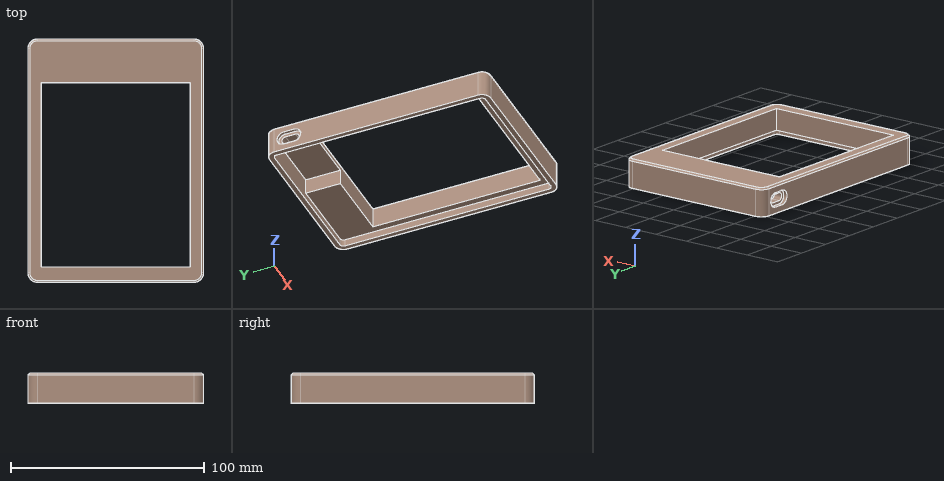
import cadquery as cq
body_width = 91.0
body_length = 126.0
body_height = 15.7
corner_radius = 5.0
bevel = 1.0

side_margin = 7.0
front_margin = 8.1
rear_margin = 22.7
window_width = body_width - 2 * side_margin
window_length = body_length - front_margin - rear_margin
window_front = -body_length / 2 + front_margin
window_rear = window_front + window_length

seat_wall = 3.0
seat_depth = 4.0

bay_left = -window_width / 2
bay_right = -2.0
bay_rear_wall = 3.0
roof = 3.0

port_y = body_length / 2 - 13.3
port_z = 7.4
port_length = 9.8
port_height = 4.2
recess_border = 1.8
recess_depth = 2.1


def box_between(x, y, z):
    """Box spanning the given (low, high) pairs."""
    size = [high - low for low, high in (x, y, z)]
    return cq.Workplane("XY").box(*size, centered=False).translate((x[0], y[0], z[0]))


def make_body():
    """Rounded block with a bevelled top edge."""
    blank = (
        cq.Workplane("XY")
        .rect(body_width, body_length)
        .extrude(body_height)
        .edges("|Z")
        .fillet(corner_radius)
    )
    return blank.faces(">Z").chamfer(bevel)


def make_window():
    """Rectangular opening through the full height."""
    half = window_width / 2
    return box_between((-half, half), (window_front, window_rear), (0, body_height))


def make_seat():
    """Rounded recess that leaves an even wall around the underside."""
    return (
        cq.Workplane("XY")
        .rect(body_width - 2 * seat_wall, body_length - 2 * seat_wall)
        .extrude(seat_depth)
        .edges("|Z")
        .fillet(corner_radius - seat_wall)
    )


def make_bay():
    """Cavity behind the window, closed above by the roof."""
    return box_between(
        (bay_left, bay_right),
        (window_rear, body_length / 2 - bay_rear_wall),
        (0, body_height - roof),
    )


def make_port(length, height, depth):
    """Slot cut into the left wall to the given depth."""
    return (
        cq.Workplane("YZ", origin=(-body_width / 2, port_y, port_z))
        .slot2D(length, height)
        .extrude(depth)
    )


result = (
    make_body()
    .cut(make_window())
    .cut(make_seat())
    .cut(make_bay())
    .cut(make_port(port_length, port_height, side_margin))
    .cut(make_port(port_length + 2 * recess_border, port_height + 2 * recess_border, recess_depth))
)